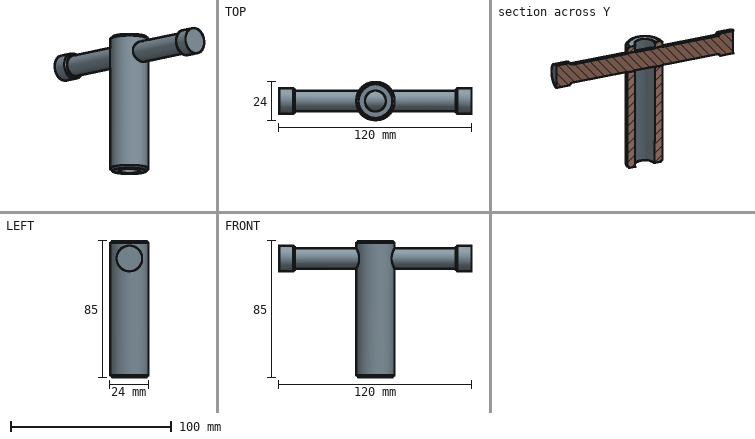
import cadquery as cq

column_diameter = 24.0
column_height = 85.0
column_chamfer = 1.5
bore_diameter = 13.0

bar_length = 120.0
bar_diameter = 13.0
bar_drop = 11.0
bar_height = column_height - bar_drop
knob_diameter = 16.0
knob_length = 10.0
knob_chamfer = 1.2


def rod_along_x(diameter, start, end):
    """Round rod on the bar's axis, from X = start to X = end."""
    plane = cq.Plane(origin=(start, 0, bar_height), xDir=(0, 1, 0), normal=(1, 0, 0))
    return cq.Workplane(plane).circle(diameter / 2).extrude(end - start)


def make_column():
    """Chamfered sleeve, bored through, with a cross hole that holds the bar."""
    body = cq.Workplane("XY").circle(column_diameter / 2).extrude(column_height)
    body = body.faces("<Z or >Z").chamfer(column_chamfer)
    bore = cq.Workplane("XY").circle(bore_diameter / 2).extrude(column_height)
    cross_hole = rod_along_x(bar_diameter, -column_diameter, column_diameter)
    return body.cut(bore).cut(cross_hole)


def make_crossbar():
    """Rod with a knob at each end, each knob chamfered on its inner edge."""
    half_length = bar_length / 2
    knob_start = half_length - knob_length
    bar = rod_along_x(bar_diameter, -half_length, half_length)
    left_knob = rod_along_x(knob_diameter, -half_length, -knob_start).faces(">X").chamfer(knob_chamfer)
    right_knob = rod_along_x(knob_diameter, knob_start, half_length).faces("<X").chamfer(knob_chamfer)
    return bar.union(left_knob).union(right_knob)


column = make_column()
crossbar = make_crossbar()

result = cq.Compound.makeCompound([column.solids().val(), crossbar.solids().val()])